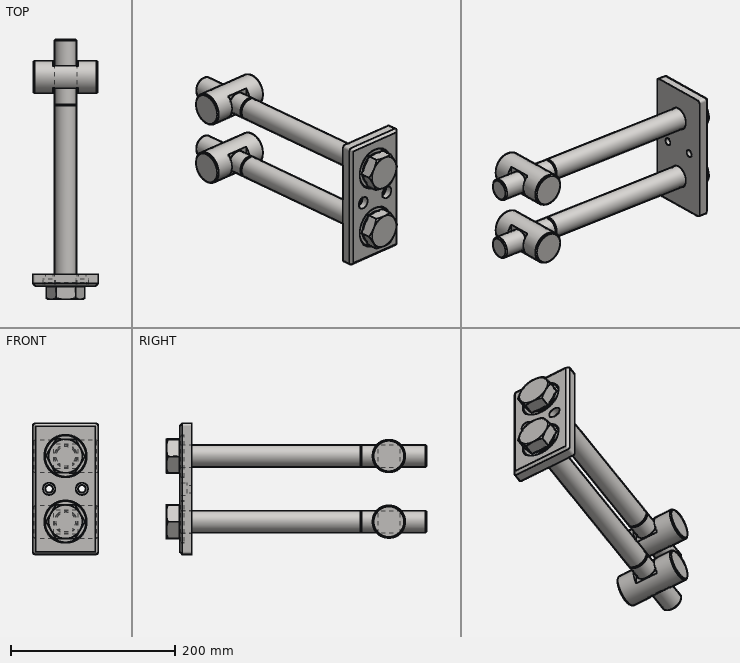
import cadquery as cq
import math

plate_width = 80.0
plate_height = 160.0
plate_thickness = 15.0
plate_corner_radius = 3.5
plate_chamfer = 3.49
bolt_pitch = 80.0
recess_diameter = 52.0
recess_depth = 5.0
screw_pitch = 40.0
screw_hole_diameter = 9.0
screw_head_diameter = 15.0
screw_head_depth = 9.0

bolt_diameter = 27.0
thread_root_diameter = 23.75
groove_angle = 60.0
bolt_length = 300.0
thread_length = 79.0
head_across_flats = 41.0
head_height = 17.0
head_bevel_angle = 30.0
bearing_face_diameter = head_across_flats
bearing_face_height = 1.5
head_turns = {1: 2.0, -1: 0.0}

washer_diameter = 50.0
washer_hole_diameter = 28.0
washer_thickness = 4.0

bar_diameter = 40.0
bar_length = 78.0
bar_chamfer = 1.5
bar_hole_diameter = bolt_diameter
bar_seat_width = 30.0
bar_seat_spacing = 27.0
bar_to_bolt_tip = 46.0

washer_back_y = washer_thickness
plate_front_y = washer_back_y - recess_depth
plate_back_y = plate_front_y + plate_thickness
bar_y = bolt_length - bar_to_bolt_tip
thread_start_y = bolt_length - thread_length


def cylinder_y(diameter, start_y, end_y, x=0.0, z=0.0):
    """Cylinder along +Y from start_y to end_y."""
    base = cq.Vector(x, start_y, z)
    direction = cq.Vector(0, 1, 0)
    return cq.Workplane(cq.Solid.makeCylinder(diameter / 2, end_y - start_y, base, direction))


def make_plate():
    body = (
        cq.Workplane("XZ", origin=(0, plate_back_y, 0))
        .rect(plate_width, plate_height)
        .extrude(plate_back_y - plate_front_y)
        .edges("|Y")
        .fillet(plate_corner_radius)
        .faces("<Y")
        .chamfer(plate_chamfer)
    )
    for side in (1, -1):
        bolt_z = side * bolt_pitch / 2
        body = body.cut(cylinder_y(washer_hole_diameter, plate_front_y, plate_back_y, z=bolt_z))
        body = body.cut(cylinder_y(recess_diameter, plate_front_y, washer_back_y, z=bolt_z))
        screw_x = side * screw_pitch / 2
        head_end_y = plate_front_y + screw_head_depth
        body = body.cut(cylinder_y(screw_hole_diameter, plate_front_y, plate_back_y, x=screw_x))
        body = body.cut(cylinder_y(screw_head_diameter, plate_front_y, head_end_y, x=screw_x))
    return body


def make_washer(bolt_z):
    disc = cylinder_y(washer_diameter, 0, washer_back_y, z=bolt_z)
    return disc.cut(cylinder_y(washer_hole_diameter, 0, washer_back_y, z=bolt_z))


def make_head(turn):
    across_corners = head_across_flats / math.cos(math.pi / 6)
    hexagon = (
        cq.Workplane("XZ")
        .polygon(6, across_corners)
        .extrude(head_height)
        .rotate((0, 0, 0), (0, 1, 0), turn)
    )
    bearing_radius = bearing_face_diameter / 2
    face_radius = head_across_flats / 2
    corner_radius = across_corners / 2
    bevel_height = (corner_radius - face_radius) * math.tan(math.radians(head_bevel_angle))
    blank = (
        cq.Workplane("XY")
        .moveTo(0, 0)
        .lineTo(bearing_radius, 0)
        .lineTo(bearing_radius, -bearing_face_height)
        .lineTo(corner_radius, -bearing_face_height)
        .lineTo(corner_radius, bevel_height - head_height)
        .lineTo(face_radius, -head_height)
        .lineTo(0, -head_height)
        .close()
        .revolve(360, (0, 0, 0), (0, 1, 0))
    )
    return hexagon.intersect(blank)


def make_bolt(bolt_z, turn):
    radius = bolt_diameter / 2
    root_radius = thread_root_diameter / 2
    thread_depth = radius - root_radius
    groove_half_width = thread_depth * math.tan(math.radians(groove_angle / 2))
    shank = (
        cq.Workplane("XY")
        .moveTo(0, 0)
        .lineTo(radius, 0)
        .lineTo(radius, thread_start_y - 2 * groove_half_width)
        .lineTo(root_radius, thread_start_y - groove_half_width)
        .lineTo(radius, thread_start_y)
        .lineTo(radius, bolt_length - thread_depth)
        .lineTo(root_radius, bolt_length)
        .lineTo(0, bolt_length)
        .close()
        .revolve(360, (0, 0, 0), (0, 1, 0))
    )
    return make_head(turn).union(shank).translate((0, 0, bolt_z))


def make_cross_bar(bolt_z):
    bar_radius = bar_diameter / 2
    seat_depth = bar_radius - bar_seat_spacing / 2
    bar = (
        cq.Workplane("YZ")
        .circle(bar_radius)
        .extrude(bar_length / 2, both=True)
        .faces("<X or >X")
        .chamfer(bar_chamfer)
        .cut(cylinder_y(bar_hole_diameter, -bar_radius, bar_radius))
    )
    for side in (1, -1):
        seat_y = side * (bar_radius - seat_depth / 2)
        cutter = cq.Workplane("XY").box(bar_seat_width, seat_depth, bar_diameter)
        bar = bar.cut(cutter.translate((0, seat_y, 0)))
    return bar.translate((0, bar_y, bolt_z))


bodies = [make_plate().val()]
for side, turn in head_turns.items():
    bolt_z = side * bolt_pitch / 2
    bodies.append(make_washer(bolt_z).val())
    bodies.append(make_bolt(bolt_z, turn).val())
    bodies.append(make_cross_bar(bolt_z).val())

result = cq.Compound.makeCompound(bodies)